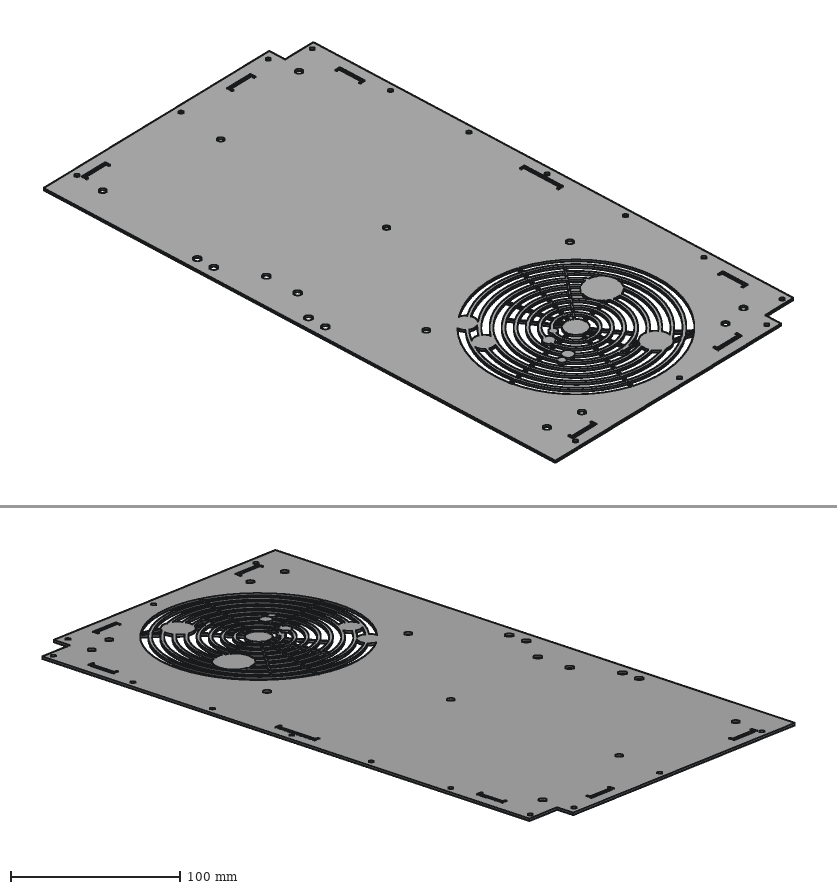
import cadquery as cq
import math

PLATE_LENGTH = 414.5
PLATE_WIDTH = 219.5
THICKNESS = 1.6
NOTCH_LENGTH = 13.0
NOTCH_WIDTH = 24.5

EDGE_HOLE_DIAMETER = 3.2
EDGE_HOLE_INSET = 5.5
TOP_HOLE_PITCH = 63.5
TOP_HOLE_COUNT = 7
SIDE_HOLE_HEIGHTS = (78.7, 3.5, -86.5)

CORNER_HOLE_DIAMETER = 5.0
CORNER_HOLE_X = 180.0
CORNER_HOLE_HEIGHTS = (82.0, -88.0)
FIELD_HOLE_DIAMETER = 4.5
FIELD_HOLES = ((-165.5, -1.2), (-31.0, -1.2))
LOWER_HOLE_DIAMETER = 5.5
UPPER_ROW_Y = -86.5
UPPER_ROW_X = (-48.5, -23.2)
LOWER_ROW_Y = -101.0
LOWER_ROW_X = (-90.8, -77.5, -1.0, 13.0)

SLOT_WIDTH = 2.0
SLOT_LEG_WIDTH = 1.2
SLOT_DEPTH = 4.0
SLOT_INSET = 8.3
SHORT_SLOT_LENGTH = 20.5
LONG_SLOT_LENGTH = 31.5
TOP_SHORT_SLOT_X = 155.0
SIDE_SLOT_HEIGHTS = (50.0, -75.5)

FAN_X = 121.0
FAN_Y = 0.0
FAN_RADIUS = 70.0
FAN_HOLE_DIAMETER = 5.0
FAN_HOLE_SPACING = 125.0
FAN_HOLE_TWIST = 0.4
HUB_RADIUS = 8.3
RING_COUNT = 8
OUTER_RING_RADIUS = 64.2
RING_PITCH = OUTER_RING_RADIUS / (RING_COUNT + 1)
RING_WIDTH = 2.3
SPOKE_WIDTH = 1.2
SPOKE_OVERLAP = 1.0

FULL_SPOKE_END = FAN_RADIUS + SPOKE_OVERLAP
SPOKES = (
    (8.5, 5 * RING_PITCH),
    (33.0, 5 * RING_PITCH),
    (100.0, 6 * RING_PITCH),
    (139.0, 9 * RING_PITCH),
    (162.0, FULL_SPOKE_END),
    (190.5, 7 * RING_PITCH),
    (212.0, 6 * RING_PITCH),
    (279.3, FULL_SPOKE_END),
    (341.5, FULL_SPOKE_END),
)

PADS = (
    (-16.0, 39.8, 13.0),
    (44.5, 22.0, 10.5),
    (-29.0, -48.5, 7.5),
    (-50.5, -41.5, 7.5),
    (15.7, -23.5, 4.0),
    (17.5, -30.5, 3.0),
    (-2.5, -20.7, 4.0),
    (-7.0, -12.0, 3.0),
)

STRUT_WIDTH = 1.5
STRUTS = (
    ((45.5, 36.5), (54.5, 45.5)),
    ((51.5, 30.0), (55.5, 44.0)),
    ((37.0, 15.0), (37.0, 1.2)),
    ((36.5, -2.0), (42.0, 3.0)),
)


def disc(x, y, radius):
    return cq.Workplane("XY").center(x, y).circle(radius).extrude(THICKNESS)


def block(length, width, x, y):
    return cq.Workplane("XY").center(x, y).rect(length, width).extrude(THICKNESS)


def plate():
    sheet = block(PLATE_LENGTH, PLATE_WIDTH, 0, 0)
    for side in (-1, 1):
        notch_x = side * (PLATE_LENGTH - NOTCH_LENGTH) / 2
        notch_y = (PLATE_WIDTH - NOTCH_WIDTH) / 2
        sheet = sheet.cut(block(NOTCH_LENGTH, NOTCH_WIDTH, notch_x, notch_y))
    return sheet


def holes(points, diameter):
    return cq.Workplane("XY").pushPoints(points).circle(diameter / 2).extrude(THICKNESS)


def edge_hole_points():
    top_y = PLATE_WIDTH / 2 - EDGE_HOLE_INSET
    side_x = PLATE_LENGTH / 2 - EDGE_HOLE_INSET
    middle = (TOP_HOLE_COUNT - 1) / 2
    top = [((i - middle) * TOP_HOLE_PITCH, top_y) for i in range(TOP_HOLE_COUNT)]
    sides = [(side * side_x, y) for side in (-1, 1) for y in SIDE_HOLE_HEIGHTS]
    return top + sides


def fan_hole_points():
    reach = FAN_HOLE_SPACING / math.sqrt(2)
    angles = [math.radians(45 + FAN_HOLE_TWIST + 90 * i) for i in range(4)]
    return [(FAN_X + reach * math.cos(a), FAN_Y + reach * math.sin(a)) for a in angles]


def tab_slot(length, x, y, turn):
    """Slot whose outer edge passes through (x, y); its legs point to -Y before the turn."""
    slot = block(length, SLOT_WIDTH, 0, -SLOT_WIDTH / 2)
    for side in (-1, 1):
        leg_x = side * (length - SLOT_LEG_WIDTH) / 2
        slot = slot.union(block(SLOT_LEG_WIDTH, SLOT_DEPTH, leg_x, -SLOT_DEPTH / 2))
    return slot.rotate((0, 0, 0), (0, 0, 1), turn).translate((x, y, 0))


def tab_slots():
    top_y = PLATE_WIDTH / 2 - SLOT_INSET
    side_x = PLATE_LENGTH / 2 - SLOT_INSET
    slots = tab_slot(LONG_SLOT_LENGTH, 0, top_y, 0)
    for side in (-1, 1):
        slots = slots.union(tab_slot(SHORT_SLOT_LENGTH, side * TOP_SHORT_SLOT_X, top_y, 0))
        for y in SIDE_SLOT_HEIGHTS:
            slots = slots.union(tab_slot(SHORT_SLOT_LENGTH, side * side_x, y, -90 * side))
    return slots


def spoke(angle, end_radius):
    start_radius = HUB_RADIUS - SPOKE_OVERLAP
    length = end_radius - start_radius
    bar = block(length, SPOKE_WIDTH, start_radius + length / 2, 0)
    return bar.rotate((0, 0, 0), (0, 0, 1), angle).translate((FAN_X, FAN_Y, 0))


def strut(start, end):
    run = end[0] - start[0]
    rise = end[1] - start[1]
    bar = block(math.hypot(run, rise), STRUT_WIDTH, 0, 0)
    bar = bar.rotate((0, 0, 0), (0, 0, 1), math.degrees(math.atan2(rise, run)))
    return bar.translate((FAN_X + start[0] + run / 2, FAN_Y + start[1] + rise / 2, 0))


def grille():
    bars = disc(FAN_X, FAN_Y, HUB_RADIUS)
    for i in range(RING_COUNT):
        middle_radius = (i + 2) * RING_PITCH
        outer = disc(FAN_X, FAN_Y, middle_radius + RING_WIDTH / 2)
        bars = bars.union(outer.cut(disc(FAN_X, FAN_Y, middle_radius - RING_WIDTH / 2)))
    for angle, end_radius in SPOKES:
        bars = bars.union(spoke(angle, end_radius))
    for start, end in STRUTS:
        bars = bars.union(strut(start, end))
    for x, y, radius in PADS:
        bars = bars.union(disc(FAN_X + x, FAN_Y + y, radius))
    return bars


corner_holes = [(side * CORNER_HOLE_X, y) for side in (-1, 1) for y in CORNER_HOLE_HEIGHTS]
lower_holes = [(x, UPPER_ROW_Y) for x in UPPER_ROW_X] + [(x, LOWER_ROW_Y) for x in LOWER_ROW_X]

result = plate().cut(disc(FAN_X, FAN_Y, FAN_RADIUS)).union(grille())
result = result.cut(holes(edge_hole_points(), EDGE_HOLE_DIAMETER))
result = result.cut(holes(corner_holes, CORNER_HOLE_DIAMETER))
result = result.cut(holes(FIELD_HOLES, FIELD_HOLE_DIAMETER))
result = result.cut(holes(lower_holes, LOWER_HOLE_DIAMETER))
result = result.cut(holes(fan_hole_points(), FAN_HOLE_DIAMETER))
result = result.cut(tab_slots())